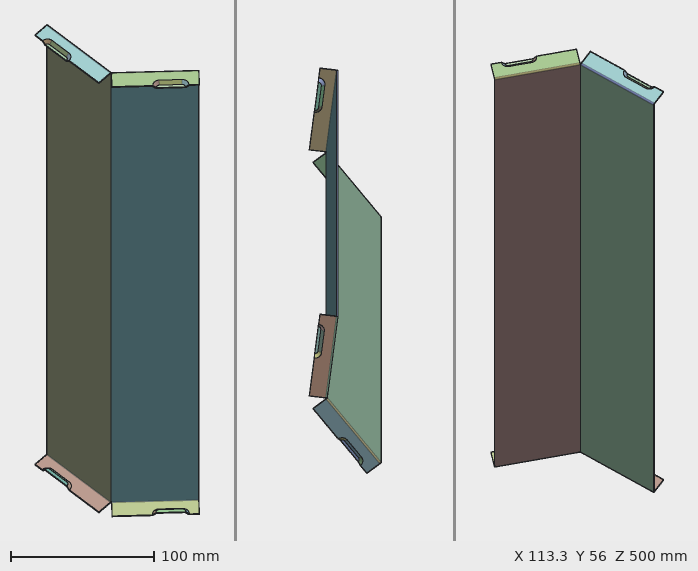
import cadquery as cq
import math

height = 500.0
total_x = 113.33
total_y = 55.99
bend_angle = 45.0
thickness = 1.0
fold_inner_radius = 0.2

dimple_end_offset = 20.0
dimple_length = 26.0
dimple_reach = 5.0
dimple_depth = 2.5
dimple_wall_angle = 45.0

bend_cos = math.cos(math.radians(bend_angle))
bend_sin = math.sin(math.radians(bend_angle))
panel_width = (total_x - total_y * bend_sin) / (1 + bend_cos - bend_sin ** 2)
flange_width = total_y - panel_width * bend_sin
fold_outer_radius = fold_inner_radius + thickness


def make_channel():
    """One flat panel along +X, its back at Y = 0, with a flange folded to -Y at each end of Z."""
    outer = (
        cq.Workplane("XY")
        .box(panel_width, flange_width, height, centered=False)
        .translate((0, -flange_width, 0))
        .edges(">Y and |X")
        .fillet(fold_outer_radius)
    )
    inner = (
        cq.Workplane("XY")
        .box(panel_width, flange_width, height - 2 * thickness, centered=False)
        .translate((0, -flange_width - thickness, thickness))
        .edges(">Y and |X")
        .fillet(fold_inner_radius)
    )
    return outer.cut(inner)


def dimple_body(inset, top, depth):
    """Rounded block with sloping walls, reaching from Z = top down by depth, centred on the flange rim."""
    return (
        cq.Workplane("XY")
        .workplane(offset=top)
        .slot2D(dimple_length - 2 * inset, 2 * (dimple_reach - inset))
        .extrude(-depth, taper=dimple_wall_angle)
    )


def add_dimple(channel, centre_x, at_top):
    """Press a half dimple into the rim of one flange, towards the middle of the part."""
    wall_shift = thickness * math.tan(math.radians(dimple_wall_angle / 2))
    shell = dimple_body(0, height - thickness, dimple_depth)
    hollow = dimple_body(wall_shift, height, dimple_depth)
    inboard_side = cq.Workplane("XY").box(dimple_length, dimple_reach, height, centered=(True, False, False))
    shell = shell.intersect(inboard_side)
    if not at_top:
        shell = shell.mirror("XY", (0, 0, height / 2))
        hollow = hollow.mirror("XY", (0, 0, height / 2))
    place = (centre_x, -flange_width, 0)
    return channel.union(shell.translate(place)).cut(hollow.translate(place))


def make_wing(dimple_x):
    """A channel with one dimple in each of its two flanges."""
    wing = make_channel()
    for at_top in (True, False):
        wing = add_dimple(wing, dimple_x, at_top)
    return wing


def make_bend_fill():
    """Mitred kite that closes the outside of the bend, between the folds of the two panels."""
    mitre_offset = thickness * math.tan(math.radians(bend_angle / 2))
    corners = [
        (0, 0),
        (0, -thickness),
        (mitre_offset, -thickness),
        (thickness * bend_sin, -thickness * bend_cos),
    ]
    return (
        cq.Workplane("XY")
        .workplane(offset=fold_outer_radius)
        .polyline(corners)
        .close()
        .extrude(height - 2 * fold_outer_radius)
        .translate((panel_width, 0, 0))
    )


left_wing = make_wing(dimple_end_offset)
right_wing = (
    make_wing(panel_width - dimple_end_offset)
    .rotate((0, 0, 0), (0, 0, 1), bend_angle)
    .translate((panel_width, 0, 0))
)

result = left_wing.union(make_bend_fill()).union(right_wing)